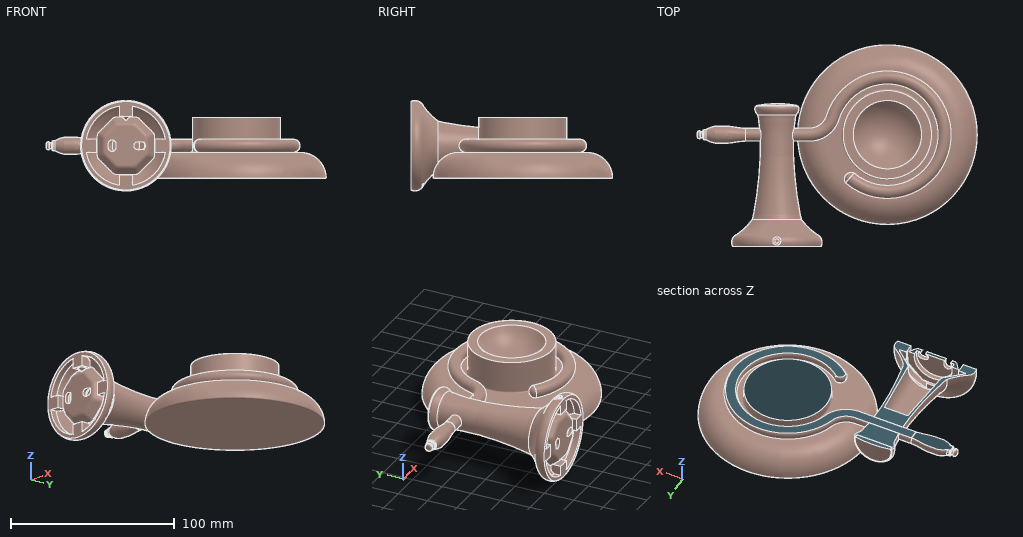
import cadquery as cq
import math


rod_radius = 4.0
rod_start_x = -19.2
ring_radius = 35.0
bend_radius = 15.0
ring_center_x = 67.57
ring_end_angle = math.radians(-131)
rod_tip_height = 3.0

dish_radius = 55.0
dish_shoulder_radius = 16.0
dish_edge_fillet = 0.8
cup_radius = 27.0
cup_top_z = 17.3
cup_foot_fillet = 1.0
bowl_radius = 20.4
bowl_depth = 12.5
bowl_edge_chamfer = 0.5

post_base_y = -68.52
flange_radius = 27.715
flange_round_radius = 5.5
flange_widest_y = -65.9
flare_end_y = -60.9
flare_mid_y = -56.4
flare_mid_radius = 19.0
flare_start_y = -52.0
flare_start_radius = 15.2
taper_end_y = -49.0
taper_end_radius = 14.4
taper_mid_y = -31.0
taper_mid_radius = 11.65
waist_radius = 10.3
waist_start_y = -13.4
waist_end_y = -3.1
collar_start_y = 8.3
collar_start_radius = 11.2
collar_mid_y = 10.3
collar_mid_radius = 11.4
collar_end_y = 11.9
collar_end_radius = 11.8
rim_start_y = 13.9
rim_start_radius = 13.1
rim_widest_y = 15.0
rim_radius = 13.5
rim_top_y = 17.4
rim_top_radius = 12.9
rim_round_radius = 2.4

mouth_radius = 24.5
mouth_depth = 4.5
hollow_step_radius = 22.3
hollow_step_depth = 7.0
hollow_neck_radius = 11.5
bore_radius = 8.3
tab_count = 4
tab_width = 8.0
tab_inner_radius = 17.9
tab_outer_radius = 25.2
tab_depth = 6.5

cap_radius = 12.4
cap_seat_depth = 2.0
cap_edge_y = 17.9
cap_crown_y = 19.1

plate_sides = 8
plate_back_flats = 35.0
plate_front_flats = 26.8
plate_thickness = 5.5
plate_corner_fillet = 4.0
plate_face_fillet = 3.0
slot_offset = 8.4
slot_length = 7.0
slot_width = 4.8
plate_pocket_radius = 13.0
plate_web = 2.5

screw_radius = 2.5
screw_y = -65.0
screw_top_z = 26.5
screw_tip_z = 15.3
socket_sides = 6
socket_flats = 2.5
socket_depth = 2.5

finial_tip_x = -48.7
tip_face_radius = 1.3
knob_radius = 2.5
knob_round_mid_x = -48.2
knob_round_mid_radius = 2.2
knob_start_x = -47.4
knob_end_x = -47.0
neck_radius = 1.9
neck_start_x = -46.7
neck_end_x = -45.5
collar_face_x = -45.1
collar_face_radius = 2.8
collar_start_x = -44.6
collar_end_x = -43.2
finial_collar_radius = 3.2
bulb_mid_x = -40.6
bulb_mid_radius = 4.5
bulb_start_x = -37.6
bulb_end_x = -31.2
bulb_radius = 5.3


def revolve_about_y(profile):
    """Revolve an XY profile about the post axis."""
    return profile.close().revolve(360, (0, 0, 0), (0, 1, 0))


def dome_arc_middle(radius, height):
    """Middle point of a dome's half profile: distance from the axis, and drop below the apex."""
    sphere_radius = (radius**2 + height**2) / (2 * height)
    half_angle = math.atan(height / radius)
    return sphere_radius * math.sin(half_angle), sphere_radius * (1 - math.cos(half_angle))


def ring_point(angle):
    return (ring_center_x + ring_radius * math.cos(angle), ring_radius * math.sin(angle))


def make_arm():
    bend_start_x = ring_center_x - math.sqrt((ring_radius + bend_radius) ** 2 - bend_radius**2)
    join_angle = math.pi - math.asin(bend_radius / (ring_radius + bend_radius))
    half_turn_angle = join_angle - math.pi
    turn = join_angle - math.pi / 2
    bend_mid = (
        bend_start_x + bend_radius * math.sin(turn / 2),
        bend_radius * (1 - math.cos(turn / 2)),
    )
    path = (
        cq.Workplane("XY")
        .moveTo(rod_start_x, 0)
        .lineTo(bend_start_x, 0)
        .threePointArc(bend_mid, ring_point(join_angle))
        .threePointArc(ring_point(join_angle - math.pi / 2), ring_point(half_turn_angle))
        .threePointArc(ring_point((half_turn_angle + ring_end_angle) / 2), ring_point(ring_end_angle))
    )
    rod = cq.Workplane("YZ", origin=(rod_start_x, 0, 0)).circle(rod_radius).sweep(path)

    end_x, end_y = ring_point(ring_end_angle)
    end_direction = cq.Vector(math.sin(ring_end_angle), -math.cos(ring_end_angle), 0)
    tip_mid_radius, tip_mid_drop = dome_arc_middle(rod_radius, rod_tip_height)
    end_plane = cq.Plane(
        origin=(end_x, end_y, 0),
        xDir=(0, 0, 1),
        normal=end_direction.cross(cq.Vector(0, 0, -1)),
    )
    tip = (
        cq.Workplane(end_plane)
        .lineTo(rod_radius, 0)
        .threePointArc((tip_mid_radius, rod_tip_height - tip_mid_drop), (0, rod_tip_height))
        .close()
        .revolve(360, (0, 0, 0), (0, 1, 0))
    )
    return rod.union(tip)


def make_finial():
    profile = (
        cq.Workplane("XY")
        .moveTo(rod_start_x, 0)
        .lineTo(finial_tip_x, 0)
        .lineTo(finial_tip_x, tip_face_radius)
        .threePointArc((knob_round_mid_x, knob_round_mid_radius), (knob_start_x, knob_radius))
        .lineTo(knob_end_x, knob_radius)
        .lineTo(neck_start_x, neck_radius)
        .lineTo(neck_end_x, neck_radius)
        .lineTo(collar_face_x, collar_face_radius)
        .lineTo(collar_start_x, finial_collar_radius)
        .lineTo(collar_end_x, finial_collar_radius)
        .threePointArc((bulb_mid_x, bulb_mid_radius), (bulb_start_x, bulb_radius))
        .lineTo(bulb_end_x, bulb_radius)
        .spline([(rod_start_x, rod_radius)], tangents=[(1, 0), (1, 0)], includeCurrent=True)
    )
    return profile.close().revolve(360, (0, 0, 0), (1, 0, 0))


def make_dish():
    top_z = -rod_radius
    bottom_z = top_z - dish_shoulder_radius
    shoulder_start = dish_radius - dish_shoulder_radius
    diagonal = dish_shoulder_radius * math.sqrt(0.5)
    bowl_bottom_z = cup_top_z - bowl_edge_chamfer - bowl_depth
    bowl_mid_radius, bowl_mid_rise = dome_arc_middle(bowl_radius, bowl_depth)
    body = (
        cq.Workplane("XZ")
        .moveTo(0, bottom_z)
        .lineTo(dish_radius, bottom_z)
        .threePointArc((shoulder_start + diagonal, bottom_z + diagonal), (shoulder_start, top_z))
        .lineTo(cup_radius + cup_foot_fillet, top_z)
        .radiusArc((cup_radius, top_z + cup_foot_fillet), cup_foot_fillet)
        .lineTo(cup_radius, cup_top_z)
        .lineTo(bowl_radius + bowl_edge_chamfer, cup_top_z)
        .lineTo(bowl_radius, cup_top_z - bowl_edge_chamfer)
    )
    body = (
        body.threePointArc((bowl_mid_radius, bowl_bottom_z + bowl_mid_rise), (0, bowl_bottom_z))
        .close()
        .revolve(360, (0, 0, 0), (0, 1, 0))
    )
    body = body.faces("<Z").edges().fillet(dish_edge_fillet)
    return body.translate((ring_center_x, 0, 0))


def make_cap():
    mid_radius, mid_drop = dome_arc_middle(cap_radius, cap_crown_y - cap_edge_y)
    return revolve_about_y(
        cq.Workplane("XY")
        .moveTo(0, rim_top_y - cap_seat_depth)
        .lineTo(cap_radius, rim_top_y - cap_seat_depth)
        .lineTo(cap_radius, cap_edge_y)
        .threePointArc((mid_radius, cap_crown_y - mid_drop), (0, cap_crown_y))
    )


def make_screw_blank():
    """Cone-tipped screw without its socket."""
    return (
        cq.Workplane("XZ", origin=(0, screw_y, 0))
        .moveTo(0, screw_tip_z)
        .lineTo(screw_radius, screw_tip_z + screw_radius)
        .lineTo(screw_radius, screw_top_z)
        .lineTo(0, screw_top_z)
        .close()
        .revolve(360, (0, 0, 0), (0, 1, 0))
    )


def make_screw():
    socket = (
        cq.Workplane("XY", origin=(0, screw_y, screw_top_z))
        .polygon(socket_sides, socket_flats, circumscribed=True)
        .extrude(-socket_depth)
    )
    return make_screw_blank().cut(socket)


def make_plate():
    taper_angle = math.degrees(math.atan((plate_back_flats - plate_front_flats) / 2 / plate_thickness))
    back_y = post_base_y + plate_thickness
    plate = (
        cq.Workplane("XZ", origin=(0, back_y, 0))
        .polygon(plate_sides, plate_back_flats, circumscribed=True)
        .extrude(plate_thickness, taper=taper_angle)
    )
    plate = plate.edges("not(#Y)").fillet(plate_corner_fillet)
    plate = plate.faces("<Y").edges().fillet(plate_face_fillet)
    face = cq.Workplane("XZ", origin=(0, post_base_y, 0))
    upright_slot = face.center(-slot_offset, 0).slot2D(slot_length, slot_width, 90).extrude(-plate_thickness)
    level_slot = face.center(slot_offset, 0).slot2D(slot_length, slot_width).extrude(-plate_thickness)
    pocket = cq.Workplane("XZ", origin=(0, back_y, 0)).circle(plate_pocket_radius)
    pocket = pocket.extrude(plate_thickness - plate_web)
    return plate.cut(upright_slot).cut(level_slot).cut(pocket).cut(make_screw_blank())


def make_post():
    round_center = flange_radius - flange_round_radius

    def flange_edge(y):
        return round_center + math.sqrt(flange_round_radius**2 - (y - flange_widest_y) ** 2)

    lower_mid_y = (post_base_y + flange_widest_y) / 2
    upper_mid_y = (flange_widest_y + flare_end_y) / 2
    outside = revolve_about_y(
        cq.Workplane("XY")
        .moveTo(0, post_base_y)
        .lineTo(flange_edge(post_base_y), post_base_y)
        .threePointArc((flange_edge(lower_mid_y), lower_mid_y), (flange_radius, flange_widest_y))
        .threePointArc((flange_edge(upper_mid_y), upper_mid_y), (flange_edge(flare_end_y), flare_end_y))
        .threePointArc((flare_mid_radius, flare_mid_y), (flare_start_radius, flare_start_y))
        .lineTo(taper_end_radius, taper_end_y)
        .threePointArc((taper_mid_radius, taper_mid_y), (waist_radius, waist_start_y))
        .lineTo(waist_radius, waist_end_y)
        .tangentArcPoint((collar_start_radius, collar_start_y), relative=False)
        .lineTo(collar_mid_radius, collar_mid_y)
        .lineTo(collar_end_radius, collar_end_y)
        .lineTo(rim_start_radius, rim_start_y)
        .lineTo(rim_radius, rim_widest_y)
        .radiusArc((rim_top_radius, rim_top_y), -rim_round_radius)
        .lineTo(0, rim_top_y)
    )
    hollow = revolve_about_y(
        cq.Workplane("XY")
        .moveTo(0, post_base_y)
        .lineTo(mouth_radius, post_base_y)
        .lineTo(mouth_radius, post_base_y + mouth_depth)
        .lineTo(hollow_step_radius, post_base_y + hollow_step_depth)
        .lineTo(hollow_neck_radius, flare_start_y)
        .lineTo(bore_radius, waist_start_y)
        .lineTo(0, waist_start_y)
    )
    post = outside.cut(hollow)
    for tab_index in range(tab_count):
        tab = cq.Workplane("XY").box(
            tab_outer_radius - tab_inner_radius, tab_depth, tab_width, centered=(False, False, True)
        )
        tab = tab.translate((tab_inner_radius, post_base_y, 0))
        post = post.union(tab.rotate((0, 0, 0), (0, 1, 0), tab_index * 360 / tab_count))
    screw_hole = cq.Workplane("XY", origin=(0, screw_y, 0)).circle(screw_radius).extrude(flange_radius)
    rod_hole = cq.Workplane("YZ").circle(rod_radius).extrude(flange_radius, both=True)
    return post.cut(screw_hole).cut(rod_hole).cut(make_cap())


arm = make_arm()
finial = make_finial()
dish = make_dish()
cap = make_cap()
screw = make_screw()
plate = make_plate()
post = make_post()

result = cq.Compound.makeCompound(
    [arm.val(), finial.val(), dish.val(), cap.val(), screw.val(), plate.val(), post.val()]
)